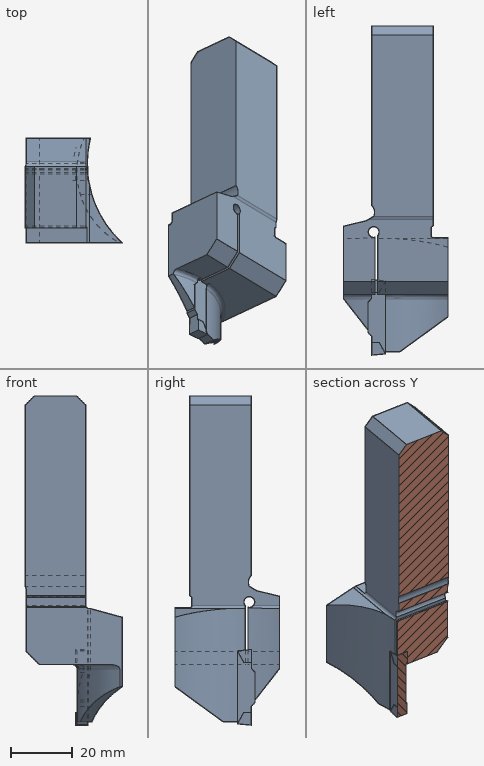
import cadquery as cq
import math

total_length = 107.1
head_width = 31.6
head_depth = 34.1
margin = 1.1

shank_width = 19.7
shank_front = 4.8
shank_back = 24.8
top_chamfer = 3.0
side_relief = 0.3
relief_top = 45.2
relief_bottom = 44.1

head_bottom = 19.7
bottom_chamfer = 4.3
shoulder_z = 38.2
slope_start_x = 21.0
slope_start_z = 38.0
slope_end_z = 35.1
shoulder_blend = 1.0
notch_top = 42.2
notch_depth = 0.6
notch_fillet = 0.4
back_edge_z = 42.0
back_blend_y = 26.6
back_blend_z = 43.8
groove_depth = 0.9
groove_top = 48.7
groove_bottom = 45.2

outer_radius = 34.8
outer_min_x = 20.2
outer_center_y = 25.7
inner_radius = 26.3
inner_min_x = 16.8
inner_center_y = 23.2
root_fillet = 1.4
blade_bottom = 1.1
blade_toe_y = 15.7
blade_front_z = 12.5
blade_back_z = 18.4
upper_jaw_z = 8.2

slot_width = 0.9
slot_y = 23.3
slot_hole_y = 24.2
slot_hole_z = 40.1
slot_hole_radius = 1.7

insert_length = 24.6
insert_seat_y = 20.4
insert_rake_y = 24.8
insert_crown_y = 26.1
crown_start = 6.1
crown_slope = 1.4
tip_clearance = 0.4
tip_height = 4.2
tip_side_step = 0.4
tip_land_y = 22.4
tip_right_step = 0.1


def extrude_along_y(sketch):
    """Extrude an XZ outline over the full depth of the head."""
    return sketch.extrude(-head_depth)


def side_silhouette():
    """Holder as seen along Y: chamfered shank, sloped shoulder and head."""
    outline = (
        cq.Workplane("XZ")
        .moveTo(side_relief + bottom_chamfer, head_bottom)
        .lineTo(side_relief, head_bottom + bottom_chamfer)
        .lineTo(side_relief, relief_bottom)
        .lineTo(0, relief_top)
        .lineTo(0, total_length - top_chamfer)
        .lineTo(top_chamfer, total_length)
        .lineTo(shank_width - top_chamfer, total_length)
        .lineTo(shank_width, total_length - top_chamfer)
        .lineTo(shank_width, slope_start_z + shoulder_blend)
        .tangentArcPoint((slope_start_x, slope_start_z), relative=False)
        .lineTo(head_width, slope_end_z)
        .lineTo(head_width, head_bottom)
        .close()
    )
    return extrude_along_y(outline)


def depth_silhouette():
    """Holder as seen along X: shank, notch, back groove and pointed blade."""
    notch_y = shank_front + notch_depth
    groove_y = shank_back - groove_depth
    groove_end_y = groove_y + groove_depth / 4
    groove_middle = (groove_top + groove_bottom) / 2
    return (
        cq.Workplane("YZ")
        .moveTo(0, blade_front_z)
        .lineTo(0, shoulder_z)
        .lineTo(notch_y - notch_fillet, shoulder_z)
        .lineTo(notch_y, shoulder_z + notch_fillet)
        .lineTo(notch_y, notch_top - notch_depth)
        .lineTo(shank_front, notch_top)
        .lineTo(shank_front, total_length)
        .lineTo(shank_back, total_length)
        .lineTo(shank_back, groove_top)
        .threePointArc((groove_y, groove_middle), (groove_end_y, groove_bottom))
        .lineTo(back_blend_y, back_blend_z)
        .lineTo(head_depth, back_edge_z)
        .lineTo(head_depth, blade_back_z)
        .lineTo(insert_crown_y, upper_jaw_z)
        .lineTo(insert_seat_y, blade_bottom)
        .lineTo(blade_toe_y, blade_bottom)
        .close()
        .extrude(head_width)
    )


def arc_x(center_x, center_y, radius, y):
    """X of the -X side of a circle at the given Y."""
    return center_x - math.sqrt(radius**2 - (y - center_y) ** 2)


def blade_blank():
    """Blade stock bounded on its -X side by a convex arc."""
    center_x = inner_min_x + inner_radius
    front_x = arc_x(center_x, inner_center_y, inner_radius, 0)
    back_x = arc_x(center_x, inner_center_y, inner_radius, head_depth)
    return (
        cq.Workplane("XY")
        .moveTo(front_x, 0)
        .threePointArc((inner_min_x, inner_center_y), (back_x, head_depth))
        .lineTo(head_width, head_depth)
        .lineTo(head_width, 0)
        .close()
        .extrude(head_bottom)
    )


def outer_arc_cutter():
    """Cylinder that hollows the +X side of head and blade."""
    return (
        cq.Workplane("XY")
        .center(outer_min_x + outer_radius, outer_center_y)
        .circle(outer_radius)
        .extrude(slope_start_z + shoulder_blend)
    )


def slot_cutter():
    """Saw slot and its round end, through the head along X."""
    slot = cq.Workplane("XY").box(
        head_width, slot_width, slot_hole_z - head_bottom + margin, centered=(False, True, False)
    ).translate((0, slot_y, head_bottom - margin))
    hole = (
        cq.Workplane("YZ")
        .center(slot_hole_y, slot_hole_z)
        .circle(slot_hole_radius)
        .extrude(head_width)
    )
    return slot.union(hole)


def insert_bar(start_x, end_x):
    """Bar with the insert's outline in YZ: low ends and a raised middle."""
    crown_low = crown_start + crown_slope
    return (
        cq.Workplane("YZ", origin=(start_x, 0, 0))
        .polyline([
            (insert_rake_y, 0),
            (insert_seat_y, tip_clearance),
            (insert_seat_y, insert_length - tip_clearance),
            (insert_rake_y, insert_length),
            (insert_rake_y, insert_length - crown_start),
            (insert_crown_y, insert_length - crown_low),
            (insert_crown_y, crown_low),
            (insert_rake_y, crown_start),
        ])
        .close()
        .extrude(end_x - start_x)
    )


def insert_tip():
    """Cutting tip, wider than the bar and relieved below the rake face."""
    start_x = inner_min_x - tip_side_step
    return (
        cq.Workplane("YZ", origin=(start_x, 0, 0))
        .polyline([
            (insert_rake_y, 0),
            (insert_seat_y, tip_clearance),
            (tip_land_y, tip_height),
            (insert_rake_y, tip_height),
        ])
        .close()
        .extrude(outer_min_x + tip_right_step - start_x)
    )


def make_insert():
    tip = insert_tip()
    opposite_tip = tip.mirror("XY").translate((0, 0, insert_length))
    return insert_bar(inner_min_x, outer_min_x).union(tip).union(opposite_tip)


def make_holder(insert):
    blank = side_silhouette().union(blade_blank())
    root_edge = cq.selectors.BoxSelector(
        (inner_min_x - margin, -margin, head_bottom - margin / 2),
        (head_width - margin, head_depth + margin, head_bottom + margin / 2),
    )
    blank = blank.edges("%CIRCLE").edges(root_edge).fillet(root_fillet)
    holder = blank.intersect(depth_silhouette()).cut(outer_arc_cutter())
    seat = insert_bar(inner_min_x, head_width)
    blade_window = insert_bar(0, head_width).intersect(
        cq.Workplane("XY").box(head_width, head_depth, head_bottom, centered=False)
    )
    return holder.cut(slot_cutter()).cut(seat).cut(blade_window).cut(insert)


insert = make_insert()
holder = make_holder(insert)
result = cq.Compound.makeCompound([holder.solids().val(), insert.val()])